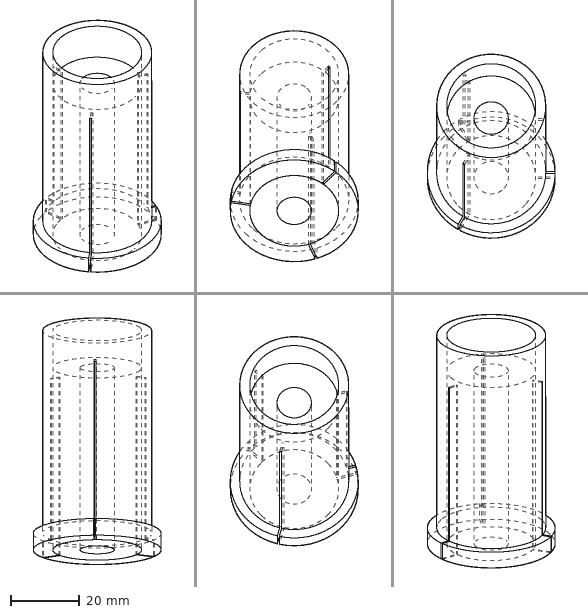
import cadquery as cq

total_height = 66.0
sleeve_diameter = 31.95
bore_diameter = 26.0

flange_diameter = 37.5
flange_height = 5.0

slit_count = 3
slit_width = 0.6
slit_height = 53.5
first_slit_angle = 90.0

recess_depth = 11.2
core_height = total_height - recess_depth
core_hole_diameter = 10.0


def cylinder(diameter, height):
    """Upright cylinder standing on the base plane, centred on the Z axis."""
    return cq.Workplane("XY").circle(diameter / 2).extrude(height)


def make_slit(angle):
    """Thin upright blade reaching from the axis past the flange rim."""
    reach = flange_diameter
    blade = cq.Workplane("XY").box(reach, slit_width, slit_height, centered=(False, True, False))
    return blade.rotate((0, 0, 0), (0, 0, 1), angle)


def make_sleeve():
    """Flanged tube with slits open at the flange end."""
    sleeve = cylinder(sleeve_diameter, total_height).union(cylinder(flange_diameter, flange_height))
    sleeve = sleeve.cut(cylinder(bore_diameter, total_height))
    for index in range(slit_count):
        sleeve = sleeve.cut(make_slit(first_slit_angle + index * 360 / slit_count))
    return sleeve


def make_core():
    """Round plug seated in the sleeve bore, with a through hole on its axis."""
    return cylinder(bore_diameter, core_height).cut(cylinder(core_hole_diameter, core_height))


sleeve = make_sleeve()
core = make_core()

result = cq.Compound.makeCompound([sleeve.val(), core.val()])